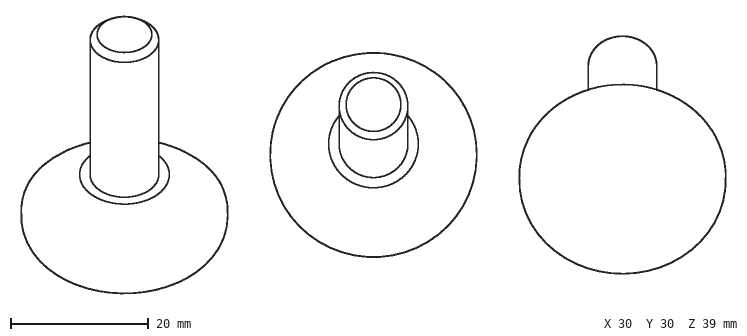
import cadquery as cq

total_height = 39.0
head_diameter = 30.0
shank_diameter = 10.0

head_height = 12.0
rim_height = 6.0
cone_top_diameter = 13.03
bottom_fillet = 4.0
rim_fillet = 1.5

shank_tip_chamfer = 1.0


def make_head():
    """Conical head with a rounded rim, its bottom face on Z = 0."""
    head_radius = head_diameter / 2
    profile = (
        cq.Workplane("XZ")
        .moveTo(0, 0)
        .lineTo(head_radius, 0)
        .lineTo(head_radius, rim_height)
        .lineTo(cone_top_diameter / 2, head_height)
        .lineTo(0, head_height)
        .close()
    )
    head = profile.revolve(360, (0, 0, 0), (0, 1, 0))
    head = head.faces("<Z").edges().fillet(bottom_fillet)
    rim_corner = cq.selectors.NearestToPointSelector((0, 0, rim_height))
    return head.edges("%CIRCLE").edges(rim_corner).fillet(rim_fillet)


def make_shank():
    """Plain round shank standing on the head, chamfered at its tip."""
    shank = (
        cq.Workplane("XY")
        .workplane(offset=head_height)
        .circle(shank_diameter / 2)
        .extrude(total_height - head_height)
    )
    return shank.faces(">Z").edges().chamfer(shank_tip_chamfer)


result = make_head().union(make_shank())